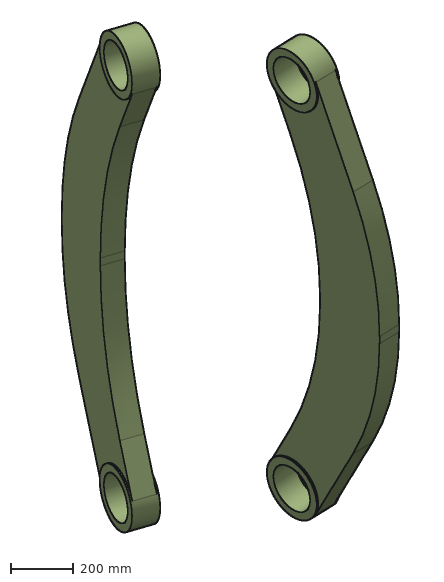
import cadquery as cq
import math

length = 1930.0
width = 515.0
tube_length = 102.0

tube_radius = 115.0
bore_radius = 85.0
tube_z = length / 2 - tube_radius

plate_thickness = 89.0
mid_width = 276.0
end_angle = math.radians(26.0)
mid_flat_half = 15.0

tube_x = 0.0
outer_x = tube_x + tube_radius - width
inner_x = outer_x + mid_width


def edge_points(mid_x, side):
    """Upper half of one plate edge: flat end, arc middle, arc end, tube tangent point.

    The straight end touches the tube on the given side (-1 outer, +1 inner) and
    is joined to the vertical flat at mid_x by a tangent arc.
    """
    tangent_x = tube_x + side * tube_radius * math.cos(end_angle)
    tangent_z = tube_z - side * tube_radius * math.sin(end_angle)
    corner_z = tangent_z - (tangent_x - mid_x) / math.tan(end_angle)
    radius = (corner_z - mid_flat_half) / math.tan(end_angle / 2)

    def on_arc(angle):
        return (
            mid_x + radius * (1 - math.cos(angle)),
            mid_flat_half + radius * math.sin(angle),
        )

    return (mid_x, mid_flat_half), on_arc(end_angle / 2), on_arc(end_angle), (tangent_x, tangent_z)


def mirrored(point):
    return (point[0], -point[1])


def make_plate():
    """Bowed plate running from tube to tube, symmetric about Z = 0."""
    outer_flat, outer_mid, outer_end, outer_tangent = edge_points(outer_x, -1)
    inner_flat, inner_mid, inner_end, inner_tangent = edge_points(inner_x, 1)
    return (
        cq.Workplane("XZ")
        .moveTo(*outer_tangent)
        .lineTo(*outer_end)
        .threePointArc(outer_mid, outer_flat)
        .lineTo(*mirrored(outer_flat))
        .threePointArc(mirrored(outer_mid), mirrored(outer_end))
        .lineTo(*mirrored(outer_tangent))
        .lineTo(*mirrored(inner_tangent))
        .lineTo(*mirrored(inner_end))
        .threePointArc(mirrored(inner_mid), mirrored(inner_flat))
        .lineTo(*inner_flat)
        .threePointArc(inner_mid, inner_end)
        .lineTo(*inner_tangent)
        .close()
        .extrude(plate_thickness / 2, both=True)
    )


def end_cylinders(radius):
    """Cylinders along Y at both tube centres, spanning the tube length."""
    return (
        cq.Workplane("XZ")
        .pushPoints([(tube_x, tube_z), (tube_x, -tube_z)])
        .circle(radius)
        .extrude(tube_length / 2, both=True)
    )


result = make_plate().union(end_cylinders(tube_radius)).cut(end_cylinders(bore_radius))